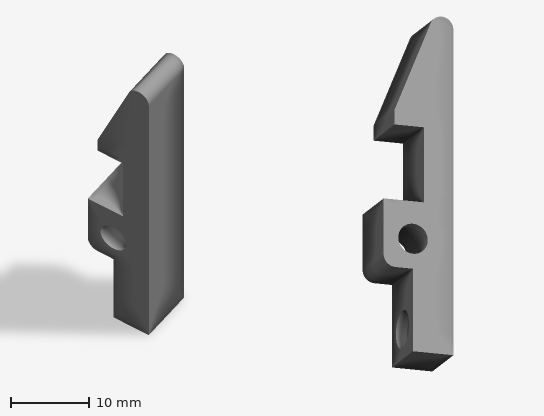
import cadquery as cq
import math

BODY_WIDTH = 9.5
BODY_DEPTH = 8.0
BODY_HEIGHT = 45.0

FOOT_THICKNESS = 5.5
NECK_THICKNESS = 4.0
HOOK_THICKNESS = 8.0

BLOCK_BOTTOM = 11.0
BLOCK_TOP = 20.0
HOOK_BOTTOM = 30.0
RAMP_START = 32.0

TIP_RADIUS = 1.6
BLOCK_CORNER_RADIUS = 1.6

PIVOT_DIAMETER = 4.0
PIVOT_X = 4.0
PIVOT_Z = 15.0

RECESS_DIAMETER = 5.0
RECESS_WALL_DEPTH = 1.5
RECESS_POINT_ANGLE = 118.0
RECESS_Z = 4.0

FOOT_FRONT = BODY_WIDTH - FOOT_THICKNESS


def tip_point(angle):
    """Point on the tip arc, which touches the back face and the top; angle in radians from +X."""
    center_x = BODY_WIDTH - TIP_RADIUS
    center_z = BODY_HEIGHT - TIP_RADIUS
    return (center_x + TIP_RADIUS * math.cos(angle), center_z + TIP_RADIUS * math.sin(angle))


def ramp_angle():
    """Slope of the ramp that rises from the hook front and runs tangent into the tip arc."""
    run = HOOK_THICKNESS - TIP_RADIUS
    rise = BODY_HEIGHT - TIP_RADIUS - RAMP_START
    return math.atan2(rise, run) + math.asin(TIP_RADIUS / math.hypot(run, rise))


def make_body():
    """Side profile extruded across the depth, with the lower block corner rounded."""
    neck_front = BODY_WIDTH - NECK_THICKNESS
    hook_front = BODY_WIDTH - HOOK_THICKNESS
    ramp_end_angle = ramp_angle() + math.pi / 2
    profile = (
        cq.Workplane("XZ")
        .moveTo(FOOT_FRONT, 0)
        .lineTo(BODY_WIDTH, 0)
        .lineTo(*tip_point(0))
        .threePointArc(tip_point(math.pi / 2), tip_point(ramp_end_angle))
        .lineTo(hook_front, RAMP_START)
        .lineTo(hook_front, HOOK_BOTTOM)
        .lineTo(neck_front, HOOK_BOTTOM)
        .lineTo(neck_front, BLOCK_TOP)
        .lineTo(0, BLOCK_TOP)
        .lineTo(0, BLOCK_BOTTOM)
        .lineTo(FOOT_FRONT, BLOCK_BOTTOM)
        .close()
    )
    body = profile.extrude(-BODY_DEPTH)
    block_corner = body.faces("<X").edges("|Y and <Z")
    return block_corner.fillet(BLOCK_CORNER_RADIUS)


def make_pivot_hole():
    """Cylinder crossing the whole depth."""
    center = cq.Workplane("XZ").center(PIVOT_X, PIVOT_Z)
    return center.circle(PIVOT_DIAMETER / 2).extrude(-BODY_DEPTH)


def make_recess():
    """Half-profile of a drilled hole, turned about its axis: straight wall, then a conical bottom."""
    radius = RECESS_DIAMETER / 2
    wall_end = FOOT_FRONT + RECESS_WALL_DEPTH
    apex = wall_end + radius / math.tan(math.radians(RECESS_POINT_ANGLE / 2))
    half_profile = (
        cq.Workplane("XZ", origin=(0, BODY_DEPTH / 2, RECESS_Z))
        .moveTo(FOOT_FRONT, 0)
        .lineTo(FOOT_FRONT, radius)
        .lineTo(wall_end, radius)
        .lineTo(apex, 0)
        .close()
    )
    return half_profile.revolve(360, (0, 0), (1, 0))


result = make_body().cut(make_pivot_hole()).cut(make_recess())